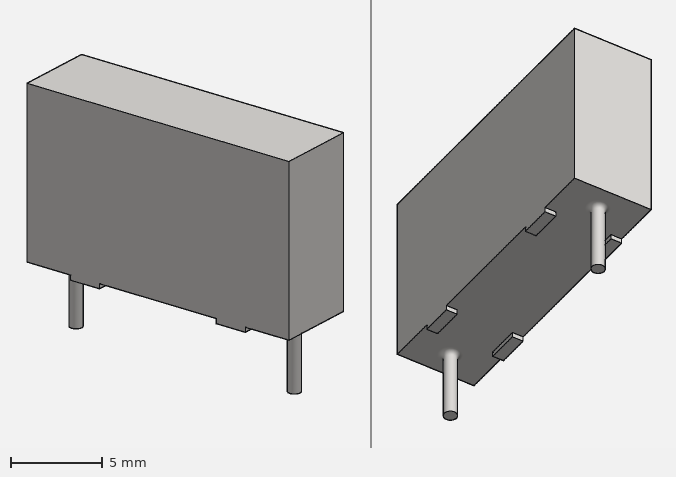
import cadquery as cq

body_length = 18.0
body_depth = 5.0
overall_height = 15.0
body_height = 10.7

pin_diameter = 0.8
pin_pitch = 15.0
pin_length = overall_height - body_height

foot_length = 2.0
foot_depth = 0.7
foot_height = 0.3
foot_pitch = 10.0

flare_radius = foot_height


def make_body():
    return cq.Workplane("XY").box(body_length, body_depth, body_height, centered=(True, True, False))


def make_feet():
    """Four feet, flush with the front and back faces of the body."""
    return (
        cq.Workplane("XY")
        .rarray(foot_pitch, body_depth - foot_depth, 2, 2)
        .rect(foot_length, foot_depth)
        .extrude(-foot_height)
    )


def make_pin(x):
    """Pin revolved about its vertical axis, with a concave flare at the body."""
    pin_radius = pin_diameter / 2
    flare_sag = flare_radius * (1 - 0.5 ** 0.5)
    profile = (
        cq.Workplane("XZ")
        .lineTo(pin_radius + flare_radius, 0)
        .threePointArc((pin_radius + flare_sag, -flare_sag), (pin_radius, -flare_radius))
        .lineTo(pin_radius, -pin_length)
        .lineTo(0, -pin_length)
        .close()
    )
    return profile.revolve(360, (0, 0, 0), (0, 1, 0)).translate((x, 0, 0))


result = make_body().union(make_feet())
for side in (-1, 1):
    result = result.union(make_pin(side * pin_pitch / 2))